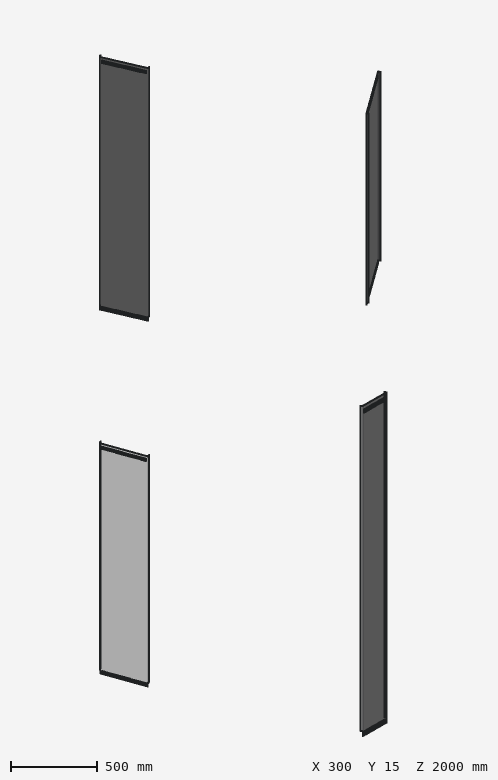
import cadquery as cq

panel_width = 300
panel_length = 2000
flange_depth = 15.0
sheet = 1.5
inner_bend_radius = sheet
outer_bend_radius = inner_bend_radius + sheet

tab_height = 30.0

slot_width = 7.0
slot_height = 20.0
slot_pitch = 12.0
slot_count = 23
row_spacing = 1950.0
lower_row_z = tab_height / 2
upper_row_z = lower_row_z + row_spacing


def rounded_bar(width, front_y, bend_radius):
    """Full-length bar from front_y to the flange tips, with its two front edges rounded."""
    return (
        cq.Workplane("XY", origin=(0, front_y, 0))
        .box(width, flange_depth - front_y, panel_length, centered=(True, False, False))
        .edges("|Z and <Y")
        .fillet(bend_radius)
    )


def bent_channel():
    """U-shaped channel of constant sheet thickness."""
    outside = rounded_bar(panel_width, 0, outer_bend_radius)
    inside = rounded_bar(panel_width - 2 * sheet, sheet, inner_bend_radius)
    return outside.cut(inside)


def flange_ends():
    """Flange and bend material to remove beside the joining tab."""
    side_offset = (panel_width - outer_bend_radius) / 2
    return (
        cq.Workplane("XY")
        .pushPoints([(-side_offset, 0), (side_offset, 0)])
        .box(outer_bend_radius, flange_depth, tab_height, centered=(True, False, False))
    )


def slot_row(center_z):
    """Row of upright slot cutters that pass through the sheet."""
    return (
        cq.Workplane("XZ", origin=(0, 0, center_z))
        .rarray(slot_pitch, 20, slot_count, 1)
        .slot2D(slot_height, slot_width, 90)
        .extrude(2 * sheet, both=True)
    )


panel = bent_channel().cut(flange_ends())
for row_z in (lower_row_z, upper_row_z):
    panel = panel.cut(slot_row(row_z))

result = panel.solids()